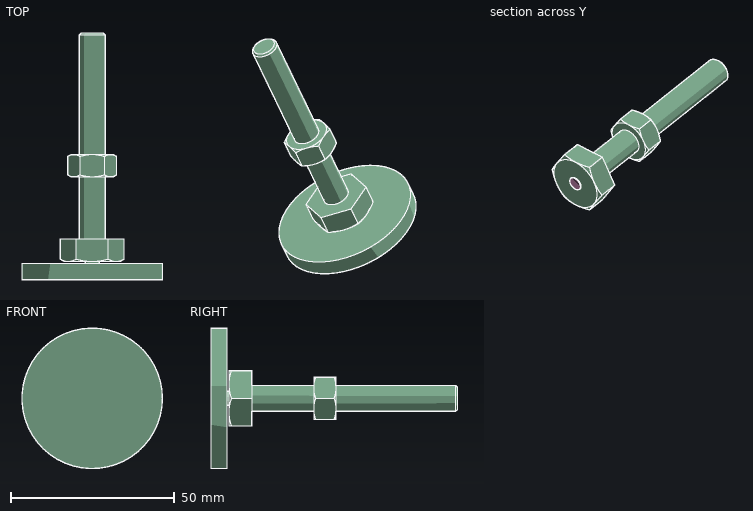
import cadquery as cq
import math

total_length = 75.5

base_diameter = 43.0
base_thickness = 5.0

rod_diameter = 8.0
tip_chamfer = 0.6

neck_diameter = 4.4
neck_length = 0.5

head_across_flats = 17.0
head_height = 7.0

nut_across_flats = 13.0
nut_height = 6.8
nut_start = 31.5

head_corner_cut = 1.35
nut_corner_cut = 1.0
bevel_angle = 30.0

head_start = base_thickness + neck_length
head_end = head_start + head_height


def cylinder(diameter, start, length):
    """Cylinder around the Y axis, running from start toward +Y."""
    return cq.Workplane("XZ", origin=(0, start, 0)).circle(diameter / 2).extrude(-length)


def bevel_envelope(corner_radius, start, height, corner_cut, bevel_far_end):
    """Turned blank whose conical ends trim the corners of a hexagon."""
    face_radius = corner_radius - corner_cut
    bevel_depth = corner_cut * math.tan(math.radians(bevel_angle))
    end = start + height
    outline = (
        cq.Workplane("XY")
        .moveTo(0, start)
        .lineTo(face_radius, start)
        .lineTo(corner_radius, start + bevel_depth)
    )
    if bevel_far_end:
        outline = outline.lineTo(corner_radius, end - bevel_depth).lineTo(face_radius, end)
    else:
        outline = outline.lineTo(corner_radius, end)
    return outline.lineTo(0, end).close().revolve(360, (0, 0, 0), (0, 1, 0))


def beveled_hexagon(across_flats, start, height, corner_cut, bevel_far_end):
    """Hexagonal prism along Y with two corners on the X axis."""
    corner_radius = across_flats / math.sqrt(3)
    prism = (
        cq.Workplane("XZ", origin=(0, start, 0))
        .polygon(6, 2 * corner_radius)
        .extrude(-height)
    )
    envelope = bevel_envelope(corner_radius, start, height, corner_cut, bevel_far_end)
    return prism.intersect(envelope)


def make_base():
    """Round foot plate."""
    return cylinder(base_diameter, 0, base_thickness)


def make_screw():
    """Rod with a hexagonal head and a short neck resting on the base."""
    neck = cylinder(neck_diameter, base_thickness, neck_length)
    head = beveled_hexagon(head_across_flats, head_start, head_height, head_corner_cut, False)
    rod = cylinder(rod_diameter, head_end, total_length - head_end)
    rod = rod.faces(">Y").chamfer(tip_chamfer)
    return neck.union(head).union(rod)


def make_nut():
    """Lock nut, beveled at both ends, bored to fit the rod."""
    nut = beveled_hexagon(nut_across_flats, nut_start, nut_height, nut_corner_cut, True)
    return nut.cut(cylinder(rod_diameter, nut_start, nut_height))


base = make_base()
screw = make_screw()
nut = make_nut()

result = cq.Compound.makeCompound([base.val(), screw.val(), nut.val()])